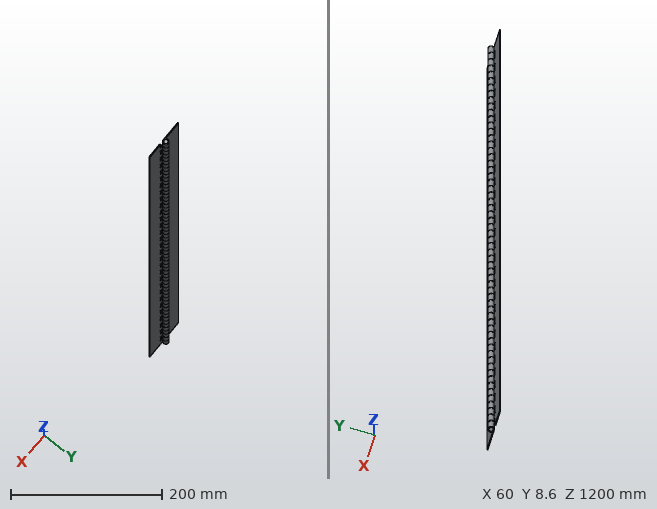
import cadquery as cq


HINGE_WIDTH = 60.0
HINGE_LENGTH = 1200.0
KNUCKLE_DIAMETER = 8.6
PIN_DIAMETER = 5.6
CUT_REACH = 7.5
KNUCKLE_COUNT = 60

KNUCKLE_RADIUS = KNUCKLE_DIAMETER / 2
PIN_RADIUS = PIN_DIAMETER / 2
LEAF_THICKNESS = KNUCKLE_RADIUS - PIN_RADIUS
LEAF_CENTRE_Y = -KNUCKLE_RADIUS + LEAF_THICKNESS / 2
KNUCKLE_LENGTH = HINGE_LENGTH / KNUCKLE_COUNT
PLATE_WIDTH = HINGE_WIDTH / 2 - CUT_REACH

LEFT = -1
RIGHT = 1


def make_plate(side):
    """Full-length flat strip of a leaf, beyond its cut-outs."""
    centre_x = side * (CUT_REACH + PLATE_WIDTH / 2)
    return (
        cq.Workplane("XY")
        .center(centre_x, LEAF_CENTRE_Y)
        .rect(PLATE_WIDTH, LEAF_THICKNESS)
        .extrude(HINGE_LENGTH)
    )


def make_knuckle(side, index):
    """One bored barrel with the flat tongue that joins it to the plate."""
    base = cq.Workplane("XY").workplane(offset=index * KNUCKLE_LENGTH)
    barrel = base.circle(KNUCKLE_RADIUS).extrude(KNUCKLE_LENGTH)
    bore = base.circle(PIN_RADIUS).extrude(KNUCKLE_LENGTH)
    tongue = (
        base.center(side * CUT_REACH / 2, LEAF_CENTRE_Y)
        .rect(CUT_REACH, LEAF_THICKNESS)
        .extrude(KNUCKLE_LENGTH)
    )
    return barrel.union(tongue).cut(bore)


def make_leaf(side, first_knuckle):
    """Plate with every second knuckle, counted upward from first_knuckle."""
    knuckles = [
        make_knuckle(side, index).val()
        for index in range(first_knuckle, KNUCKLE_COUNT, 2)
    ]
    return cq.Workplane(make_plate(side).val().fuse(*knuckles).clean())


def make_pin():
    """Straight pin that fills the bores of all knuckles from end to end."""
    return cq.Workplane("XY").circle(PIN_RADIUS).extrude(HINGE_LENGTH)


left_leaf = make_leaf(LEFT, first_knuckle=1)
right_leaf = make_leaf(RIGHT, first_knuckle=0)
pin = make_pin()

result = cq.Compound.makeCompound(
    [
        left_leaf.solids().val(),
        right_leaf.solids().val(),
        pin.val(),
    ]
)